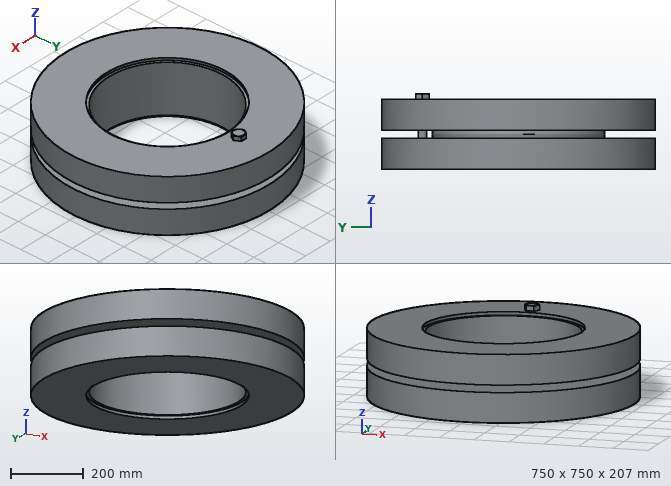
import cadquery as cq
import math

flange_diameter = 750.0
flange_thickness = 85.5
flange_gap = 21.0
stack_height = 2 * flange_thickness + flange_gap
middle_z = stack_height / 2

ring_bore_diameter = 430.0
ring_middle_diameter = 474.0
flange_mouth_diameter = 446.0
ring_end_recess = 10.0
ring_half_height = middle_z - ring_end_recess
taper_slope = (ring_middle_diameter - flange_mouth_diameter) / 2 / middle_z

bolt_y = 263.0
shank_diameter = 24.0
bolt_engagement = 37.5
head_across_flats = 37.5
head_height = 15.0
head_top_diameter = 36.0
head_across_corners = head_across_flats / math.cos(math.pi / 6)
head_chamfer_angle = math.radians(30)
bolt_tip_z = flange_thickness - bolt_engagement


def double_cone(half_height):
    """Solid of two equal cones, widest at the middle of the gap."""
    middle_radius = ring_middle_diameter / 2
    end_radius = middle_radius - taper_slope * half_height
    return (
        cq.Workplane("XZ")
        .moveTo(0, middle_z - half_height)
        .lineTo(end_radius, middle_z - half_height)
        .lineTo(middle_radius, middle_z)
        .lineTo(end_radius, middle_z + half_height)
        .lineTo(0, middle_z + half_height)
        .close()
        .revolve(360, (0, 0), (0, 1))
    )


def bolt_shank():
    return (
        cq.Workplane("XY", origin=(0, bolt_y, bolt_tip_z))
        .circle(shank_diameter / 2)
        .extrude(stack_height - bolt_tip_z)
    )


def make_flange(bottom_z):
    """Plate with a tapered seat for the ring and a hole for the bolt."""
    plate = (
        cq.Workplane("XY", origin=(0, 0, bottom_z))
        .circle(flange_diameter / 2)
        .extrude(flange_thickness)
    )
    return plate.cut(double_cone(middle_z)).cut(bolt_shank())


def make_seal_ring():
    bore = cq.Workplane("XY").circle(ring_bore_diameter / 2).extrude(stack_height)
    return double_cone(ring_half_height).cut(bore)


def make_bolt():
    """Shank and hexagon head, with the corners of the head chamfered by a cone."""
    head = (
        cq.Workplane("XY", origin=(0, bolt_y, stack_height))
        .polygon(6, head_across_corners)
        .extrude(head_height)
    )
    top_radius = head_top_diameter / 2
    base_radius = top_radius + head_height / math.tan(head_chamfer_angle)
    chamfer_cone = cq.Workplane(
        cq.Solid.makeCone(base_radius, top_radius, head_height, pnt=cq.Vector(0, bolt_y, stack_height))
    )
    return head.intersect(chamfer_cone).union(bolt_shank())


flange_bottoms = [0, flange_thickness + flange_gap]
flanges = [make_flange(bottom_z) for bottom_z in flange_bottoms]
seal_ring = make_seal_ring()
bolt = make_bolt()

result = cq.Compound.makeCompound(
    [*[flange.solids().val() for flange in flanges], seal_ring.solids().val(), bolt.solids().val()]
)